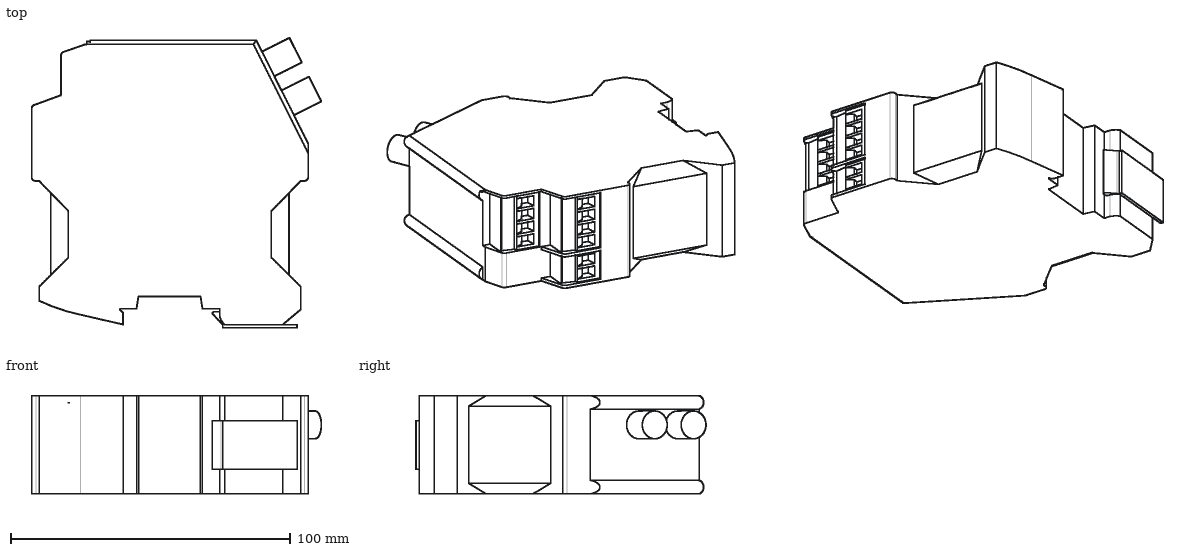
import cadquery as cq
import math

WIDTH = 99.0
THICK = 35.2
TOP_Y = 101.4
FOOT_Y = 1.1
MID_X = WIDTH / 2

SHOULDER_Y = 52.5
SHOULDER_X = 2.7
WAIST_X = 13.2
WAIST_TOP_Y = 41.8
WAIST_BOTTOM_Y = 25.1
HIP_Y = 14.7
CORNER_RADIUS = 1.5

STEP_X = 10.5
LOWER_STEP_TOP = 79.4
UPPER_STEP_BOTTOM = 83.2
UPPER_STEP_TOP = 98.3
TOP_START_X = 19.1

SLANT_X = 79.4
SLANT_END_Y = 62.3
SLANT_ANGLE = math.atan2(WIDTH - SLANT_X, TOP_Y - SLANT_END_Y)
SLANT_NORMAL = (math.cos(SLANT_ANGLE), math.sin(SLANT_ANGLE))
SLANT_DOWN = (math.sin(SLANT_ANGLE), -math.cos(SLANT_ANGLE))

RAIL_Y = 6.7
RAIL_ROOF_Y = 11.2
RAIL_LEFT_X = 31.6
RAIL_RIGHT_X = 67.2
ROOF_LEFT_X = 38.3
ROOF_RIGHT_X = 60.4
ROOF_TAPER = 0.7
LIP_REACH = 1.1
LIP_GAP = 0.3
LIP_DROP = 1.3

LEFT_FOOT_SIDE_Y = 9.6
SOLE_ARC_MIDDLE = (9.9, 6.7)
SOLE_ARC_END = (17.4, 4.7)
HEEL_START_Y = 4.5
HEEL_ARC_MIDDLE = (67.8, 2.7)
HEEL_END_X = 69.1
FOOT_END_X = 89.8
RIGHT_FOOT_SIDE_Y = 6.5


def mirrored(x):
    return 2 * MID_X - x


def housing():
    lip_x = RAIL_LEFT_X + LIP_REACH
    outline = (
        cq.Workplane("XY")
        .moveTo(0, LOWER_STEP_TOP)
        .lineTo(0, SHOULDER_Y)
        .lineTo(SHOULDER_X, SHOULDER_Y)
        .lineTo(WAIST_X, WAIST_TOP_Y)
        .lineTo(WAIST_X, WAIST_BOTTOM_Y)
        .lineTo(SHOULDER_X, HIP_Y)
        .lineTo(SHOULDER_X, LEFT_FOOT_SIDE_Y)
        .threePointArc(SOLE_ARC_MIDDLE, SOLE_ARC_END)
        .lineTo(lip_x, FOOT_Y)
        .lineTo(lip_x, RAIL_Y - LIP_DROP)
        .lineTo(RAIL_LEFT_X, RAIL_Y - LIP_GAP)
        .lineTo(RAIL_LEFT_X, RAIL_Y)
        .lineTo(ROOF_LEFT_X - ROOF_TAPER, RAIL_Y)
        .lineTo(ROOF_LEFT_X, RAIL_ROOF_Y)
        .lineTo(ROOF_RIGHT_X, RAIL_ROOF_Y)
        .lineTo(ROOF_RIGHT_X + ROOF_TAPER, RAIL_Y)
        .lineTo(RAIL_RIGHT_X, RAIL_Y)
        .lineTo(RAIL_RIGHT_X, HEEL_START_Y)
        .threePointArc(HEEL_ARC_MIDDLE, (HEEL_END_X, FOOT_Y))
        .lineTo(FOOT_END_X, FOOT_Y)
        .lineTo(mirrored(SHOULDER_X), RIGHT_FOOT_SIDE_Y)
        .lineTo(mirrored(SHOULDER_X), HIP_Y)
        .lineTo(mirrored(WAIST_X), WAIST_BOTTOM_Y)
        .lineTo(mirrored(WAIST_X), WAIST_TOP_Y)
        .lineTo(mirrored(SHOULDER_X), SHOULDER_Y)
        .lineTo(WIDTH, SHOULDER_Y)
        .lineTo(WIDTH, SLANT_END_Y)
        .lineTo(SLANT_X, TOP_Y)
        .lineTo(TOP_START_X, TOP_Y)
        .lineTo(STEP_X, UPPER_STEP_TOP)
        .lineTo(STEP_X, UPPER_STEP_BOTTOM)
        .close()
    )
    body = outline.extrude(THICK)
    rounded = [
        (0, LOWER_STEP_TOP),
        (0, SHOULDER_Y),
        (WIDTH, SHOULDER_Y),
        (STEP_X, UPPER_STEP_TOP),
    ]
    for x, y in rounded:
        corner = cq.selectors.NearestToPointSelector((x, y, THICK / 2))
        body = body.edges("|Z").edges(corner).fillet(CORNER_RADIUS)
    return body


CORE_X = 6.8
CORE_BOTTOM_Y = 18.9
CORE_TOP_Y = 48.2
CORE_BEVEL = 3.8


def waist_core():
    points = [
        (WAIST_X, 0),
        (CORE_X, CORE_BEVEL),
        (CORE_X, THICK - CORE_BEVEL),
        (WAIST_X, THICK),
        (mirrored(WAIST_X), THICK),
        (mirrored(CORE_X), THICK - CORE_BEVEL),
        (mirrored(CORE_X), CORE_BEVEL),
        (mirrored(WAIST_X), 0),
    ]
    core = cq.Workplane("XZ", origin=(0, CORE_BOTTOM_Y, 0)).polyline(points).close()
    return core.extrude(-(CORE_TOP_Y - CORE_BOTTOM_Y))


RIDGE_WIDTH = 4.9
RIDGE_HEIGHT = 1.6
UPPER_RIDGE_X = 19.7
LOWER_RIDGE_X = STEP_X * 2


def ridge(z_low, start_x):
    profile = (
        cq.Workplane("YZ", origin=(start_x, TOP_Y, z_low))
        .moveTo(0, 0)
        .threePointArc((RIDGE_HEIGHT, RIDGE_WIDTH / 2), (0, RIDGE_WIDTH))
        .lineTo(-RIDGE_HEIGHT, RIDGE_WIDTH)
        .lineTo(-RIDGE_HEIGHT, 0)
        .close()
    )
    slant_length = math.hypot(WIDTH - SLANT_X, TOP_Y - SLANT_END_Y)
    path = (
        cq.Workplane("XY", origin=(0, 0, z_low))
        .moveTo(start_x, TOP_Y)
        .lineTo(SLANT_X, TOP_Y)
        .line(slant_length * SLANT_DOWN[0], slant_length * SLANT_DOWN[1])
    )
    bar = profile.sweep(path, transition="right")
    keep = cq.Workplane("XY").box(WIDTH, 2 * TOP_Y, THICK, centered=False)
    return bar.intersect(keep)


STUB_DIAMETER = 10.0
STUB_LENGTH = 12.6
STUB_Z = 24.7
STUB_SPOTS = (8.6, 24.2)
STUB_ROOT = 2.1


def stub(distance):
    origin = (
        SLANT_X + distance * SLANT_DOWN[0] - STUB_ROOT * SLANT_NORMAL[0],
        TOP_Y + distance * SLANT_DOWN[1] - STUB_ROOT * SLANT_NORMAL[1],
        STUB_Z,
    )
    plane = cq.Plane(origin=origin, xDir=(0, 0, 1), normal=(*SLANT_NORMAL, 0))
    return cq.Workplane(plane).circle(STUB_DIAMETER / 2).extrude(STUB_LENGTH + STUB_ROOT)


CLIP_Z = 8.8
CLIP_WIDTH = 17.4
PLATE_START_X = 68.4
PLATE_END_X = 94.9
HOOK_TIP_X = 64.5
HOOK_ROOT_X = 72.6
HOOK_TOP_Y = 5.8
HOOK_BEVEL = 0.6


def rail_clip():
    points = [
        (PLATE_START_X, 0),
        (PLATE_END_X, 0),
        (PLATE_END_X, FOOT_Y),
        (FOOT_END_X, FOOT_Y),
        (HOOK_ROOT_X, HOOK_TOP_Y),
        (HOOK_TIP_X + HOOK_BEVEL, HOOK_TOP_Y),
        (HOOK_TIP_X, HOOK_TOP_Y - HOOK_BEVEL),
        (PLATE_START_X - HOOK_BEVEL, FOOT_Y + HOOK_BEVEL),
        (PLATE_START_X, FOOT_Y),
    ]
    return cq.Workplane("XY", origin=(0, 0, CLIP_Z)).polyline(points).close().extrude(CLIP_WIDTH)


PLUG_FACE = 1.0
PLUG_TOP = 14.9
PLUG_LIP = 0.8
SHELF = 9.3
SHELF_BEVEL = 0.3
UPPER_FACE_START = 2.1
UPPER_FACE_END = 2.8
HOLE_BOTTOM = 2.1
HOLE_TOP = 9.0
HOLE_DEPTH = 3.1
HOLE_WIDTH = 3.8
HOLE_DRAFT = 0.3
HOLE_FLOOR_RISE = 0.9
HOLE_FLOOR_END = 4.1
HOLE_RAMP = 1.5
HOLE_PITCH = 4.9
HOLE_MARGIN = 1.1


def wire_hole():
    floor_x = PLUG_FACE + HOLE_DEPTH
    floor_bottom = HOLE_BOTTOM + HOLE_FLOOR_RISE
    floor_top = HOLE_BOTTOM + HOLE_FLOOR_END
    side_profile = [
        (PLUG_FACE, HOLE_BOTTOM),
        (floor_x, floor_bottom),
        (floor_x, floor_top),
        (PLUG_FACE + HOLE_RAMP, floor_top),
        (PLUG_FACE, HOLE_TOP),
    ]
    plan_profile = [
        (PLUG_FACE, 0),
        (floor_x, HOLE_DRAFT),
        (floor_x, HOLE_WIDTH - HOLE_DRAFT),
        (PLUG_FACE, HOLE_WIDTH),
    ]
    side = cq.Workplane("XY").polyline(side_profile).close().extrude(HOLE_WIDTH)
    plan = cq.Workplane("XZ").polyline(plan_profile).close().extrude(-PLUG_TOP)
    return side.intersect(plan)


def terminal_pocket(body, face_x, plug_y, pocket_y, pocket_top, z_low, z_high, holes):
    height = z_high - z_low
    pocket = cq.Workplane("XY").box(STEP_X, pocket_top - pocket_y, height, centered=False)
    body = body.cut(pocket.translate((face_x, pocket_y, z_low)))

    plug_profile = [
        (STEP_X, 0),
        (PLUG_FACE, 0),
        (PLUG_FACE, SHELF - SHELF_BEVEL),
        (UPPER_FACE_START, SHELF),
        (UPPER_FACE_END, PLUG_TOP - PLUG_LIP),
        (UPPER_FACE_END - PLUG_LIP, PLUG_TOP),
        (STEP_X, PLUG_TOP),
    ]
    plug = cq.Workplane("XY", origin=(face_x, plug_y, z_low)).polyline(plug_profile).close()
    plug = plug.extrude(height)

    for i in range(holes):
        hole_z = z_low + HOLE_MARGIN + i * HOLE_PITCH
        plug = plug.cut(wire_hole().translate((face_x, plug_y, hole_z)))
    return body.union(plug)


PLUG_Y = 64.6
PLUG_PITCH_Y = 19.0
LOWER_POCKET_TOP = 83.3
UPPER_POCKET_Y = 83.8
POCKET_OPEN_Y = 103.7
UPPER_BANK = (13.2, 34.2)
LOWER_BANK = (1.1, 12.0)

result = housing().union(waist_core())
result = result.union(ridge(THICK - RIDGE_WIDTH, UPPER_RIDGE_X))
result = result.union(ridge(0, LOWER_RIDGE_X))
for spot in STUB_SPOTS:
    result = result.union(stub(spot))
result = result.union(rail_clip())
result = terminal_pocket(result, 0, PLUG_Y, PLUG_Y, LOWER_POCKET_TOP, *UPPER_BANK, 4)
result = terminal_pocket(result, 0, PLUG_Y, PLUG_Y, LOWER_POCKET_TOP, *LOWER_BANK, 2)
upper_plug_y = PLUG_Y + PLUG_PITCH_Y
result = terminal_pocket(result, STEP_X, upper_plug_y, UPPER_POCKET_Y, POCKET_OPEN_Y, *UPPER_BANK, 4)